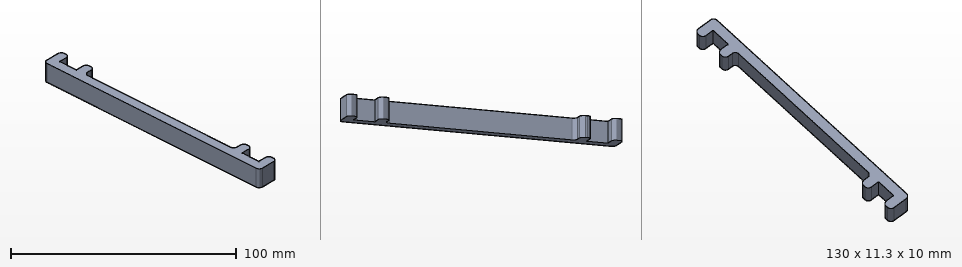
import cadquery as cq

length = 130.0
depth = 11.3
height = 10.0

bar_thickness = height / 2
prong_width = height / 2
slot_width = 2 * prong_width

corner_radius = height / 5

inner_prong_start = prong_width + slot_width
inner_prong_end = inner_prong_start + prong_width


def box_from(x_start, width, y_size):
    """Full-height block with its front face on Y = 0."""
    block = cq.Workplane("XY").box(width, y_size, height, centered=False)
    return block.translate((x_start, 0, 0))


def prong(x_start):
    """Prong rising from the bar, with both corners of its tip rounded."""
    return box_from(x_start, prong_width, depth).edges("|Z and >Y").fillet(corner_radius)


result = box_from(0, length, bar_thickness).edges("|Z and <Y").fillet(corner_radius)

front_clearance = cq.Workplane("XY").box(length, bar_thickness / 2, height, centered=False)
for x_start in (0, inner_prong_start, length - inner_prong_end, length - prong_width):
    result = result.union(prong(x_start).cut(front_clearance))
result = result.clean()

for x_root in (inner_prong_end, length - inner_prong_end):
    root_edge = cq.selectors.NearestToPointSelector((x_root, bar_thickness, height / 2))
    result = result.edges("|Z").edges(root_edge).fillet(corner_radius)

result = result.translate((-length / 2, -depth / 2, -height / 2))